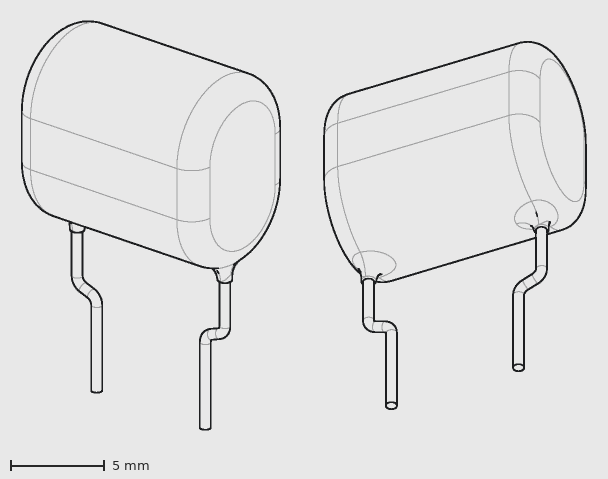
import cadquery as cq
import math

body_length = 12.6
body_width = 8.0
body_height = 11.0
end_round = 1.25

collar_diameter = 0.8
collar_drop = 1.0
overlong_drop = 2 * collar_drop
collar_blend = 1.1
collar_lip_round = 0.1

lead_diameter = 0.6
top_pitch = 10.2
bottom_pitch = 7.5
joggle_top_z = -3.65
lead_bottom_z = -10.0
bend_radius = 0.6
bend_angle = math.radians(70)

mid_z = body_height / 2


def make_collar(x):
    """Cylinder from the middle of the body down, overlong so the blend can run out on it."""
    return (
        cq.Workplane("XY", origin=(x, 0, -overlong_drop))
        .circle(collar_diameter / 2)
        .extrude(overlong_drop + mid_z)
    )


def collar_box(x, bottom_z, top_z):
    """Selector box around one collar between two heights."""
    reach = collar_diameter
    return cq.selectors.BoxSelector((x - reach, -reach, bottom_z), (x + reach, reach, top_z))


def make_body():
    body = (
        cq.Workplane("YZ", origin=(-body_length / 2, 0, mid_z))
        .slot2D(body_height, body_width, 90)
        .extrude(body_length)
        .faces("<X or >X")
        .edges()
        .fillet(end_round)
    )
    for side in (-1, 1):
        x = side * top_pitch / 2
        body = body.union(make_collar(x), clean=False)
        body = body.edges(collar_box(x, -collar_drop / 4, end_round / 2)).fillet(collar_blend)
    below_collars = (
        cq.Workplane("XY", origin=(0, 0, -collar_drop))
        .rect(body_length, body_width)
        .extrude(-overlong_drop)
    )
    body = body.cut(below_collars, clean=False)
    return body.faces("<Z").edges().fillet(collar_lip_round)


def make_lead(side):
    """One lead, stepping towards the centre; side is -1 or +1 along X."""
    top_x = top_pitch / 2
    bottom_x = bottom_pitch / 2
    bend_drop = bend_radius * math.sin(bend_angle)
    bend_shift = bend_radius * (1 - math.cos(bend_angle))
    half_drop = bend_radius * math.sin(bend_angle / 2)
    half_shift = bend_radius * (1 - math.cos(bend_angle / 2))
    slope_shift = top_x - bottom_x - 2 * bend_shift
    slope_drop = slope_shift / math.tan(bend_angle)
    slope_start_z = joggle_top_z - bend_drop
    slope_end_z = slope_start_z - slope_drop
    joggle_bottom_z = slope_end_z - bend_drop

    path = (
        cq.Workplane("XZ")
        .moveTo(side * top_x, -collar_drop)
        .lineTo(side * top_x, joggle_top_z)
        .threePointArc(
            (side * (top_x - half_shift), joggle_top_z - half_drop),
            (side * (top_x - bend_shift), slope_start_z),
        )
        .lineTo(side * (bottom_x + bend_shift), slope_end_z)
        .threePointArc(
            (side * (bottom_x + half_shift), joggle_bottom_z + half_drop),
            (side * bottom_x, joggle_bottom_z),
        )
        .lineTo(side * bottom_x, lead_bottom_z)
    )
    return (
        cq.Workplane("XY", origin=(side * top_x, 0, -collar_drop))
        .circle(lead_diameter / 2)
        .sweep(path)
    )


body = make_body()
leads = [make_lead(side) for side in (-1, 1)]

result = cq.Compound.makeCompound([body.val(), *[lead.val() for lead in leads]])